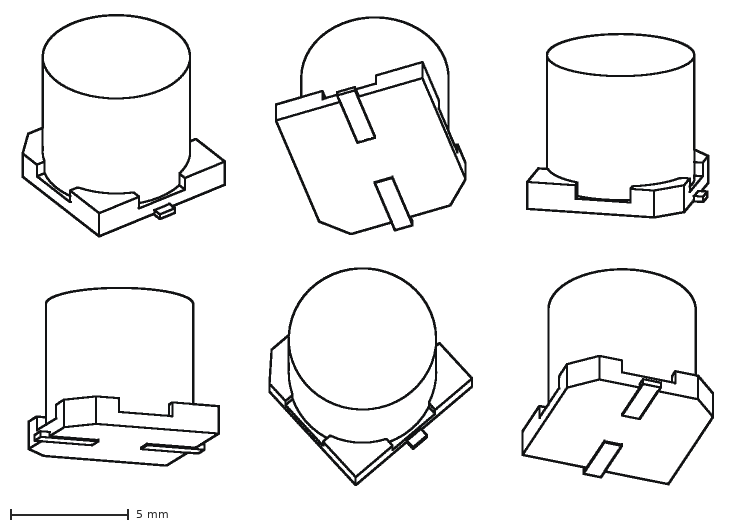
import cadquery as cq

total_length = 7.39
total_height = 6.15

base_side = 6.6
base_height = 1.2
base_standoff = 0.06
corner_cut = 1.065
notch_width = 2.4
notch_depth = 0.6

can_diameter = 6.27

lead_width = 0.8
lead_thickness = 0.245
lead_length = 2.595

base_top = base_standoff + base_height
seat_height = base_top - notch_depth


def make_can():
    """Plain cylinder standing on the floor of the base recess."""
    return (
        cq.Workplane("XY", origin=(0, 0, seat_height))
        .circle(can_diameter / 2)
        .extrude(total_height - seat_height)
    )


def make_lead(side):
    """Flat strip under the base; side is -1 for the -X lead and 1 for the +X lead."""
    center_x = side * (total_length - lead_length) / 2
    return (
        cq.Workplane("XY", origin=(center_x, 0, 0))
        .rect(lead_length, lead_width)
        .extrude(lead_thickness)
    )


def make_base(can, leads):
    """Square plate with two cut corners, a notch in each side, and seats for the can and leads."""
    base = (
        cq.Workplane("XY", origin=(0, 0, base_standoff))
        .rect(base_side, base_side)
        .extrude(base_height)
        .edges("|Z and <X")
        .chamfer(corner_cut)
    )
    notches = cq.Workplane("XY", origin=(0, 0, seat_height))
    along_x = notches.rect(base_side, notch_width).extrude(notch_depth)
    along_y = notches.rect(notch_width, base_side).extrude(notch_depth)
    base = base.cut(along_x).cut(along_y).cut(can)
    for lead in leads:
        base = base.cut(lead)
    return base


can = make_can()
leads = [make_lead(side) for side in (-1, 1)]
base = make_base(can, leads)

result = cq.Compound.makeCompound([base.val(), can.val(), *[lead.val() for lead in leads]])